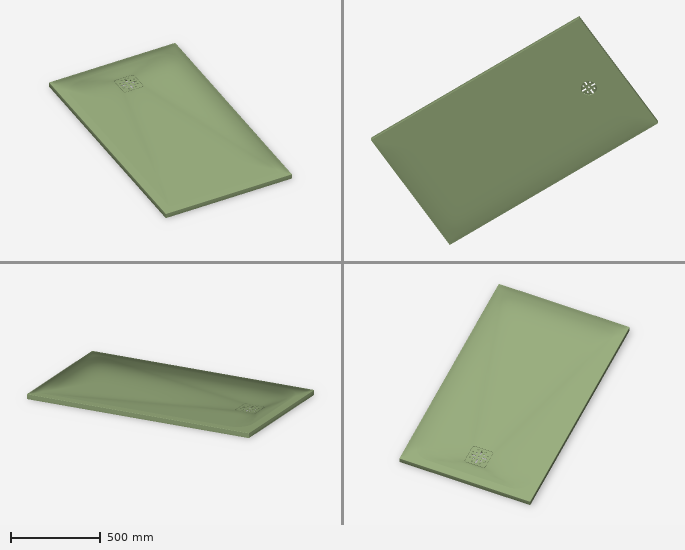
import cadquery as cq
import math

LENGTH = 1400.0
WIDTH = 800.0
HEIGHT = 30.0

RIM_WIDTH = 50.0
DRAIN_END_RADIUS = 100.0
FAR_END_RADIUS = 14.0
FLOOR_FALL = 15.0
FLOOR_LOW = HEIGHT - FLOOR_FALL

CORNER_STEPS = 2

CORNER_STRETCH = 0.3

TOP_EDGE_RADIUS = 1.0

DRAIN_FROM_END = 200.0
DRAIN_X = DRAIN_FROM_END - LENGTH / 2
DRAIN_DIAMETER = 90.0
FUNNEL_DIAMETER = 122.0
FUNNEL_DEPTH = 1.0

GRATE_SIDE = 123.0
GRATE_CORNER_RADIUS = 14.0
GRATE_GAP = 2.1
GRATE_THICKNESS = 3.0
POCKET_SIDE = GRATE_SIDE + 2 * GRATE_GAP
POCKET_CORNER_RADIUS = 11.0
POCKET_FLOOR = FLOOR_LOW - GRATE_THICKNESS

SLOT_WIDTH = 10.0
SLOT_PITCH = 22.0
ARM_LENGTH = SLOT_PITCH + SLOT_WIDTH
ARM_CENTRE = 1.5 * SLOT_PITCH


def rounded_outline(z, x_min, x_max, width, radius_at_min, radius_at_max, stretch=0.0):
    """Closed wire at height z: a rectangle with its own corner radius at each X end.

    The wire is one smooth spline, so a surface lofted between two of them is a single face.
    It starts and ends at the middle of the x_min side. Its parameter is the fraction of its length,
    which a positive stretch shifts so that the corners lie closer in parameter to the two X ends.
    """
    y = width / 2
    corners = (
        (x_min + radius_at_min, -y + radius_at_min, radius_at_min, 180),
        (x_max - radius_at_max, -y + radius_at_max, radius_at_max, 270),
        (x_max - radius_at_max, y - radius_at_max, radius_at_max, 0),
        (x_min + radius_at_min, y - radius_at_min, radius_at_min, 90),
    )
    start = cq.Vector(x_min, 0, z)
    start_direction = cq.Vector(0, -1, 0)
    points = [start]
    directions = [start_direction]
    lengths = [0.0]
    for centre_x, centre_y, radius, start_angle in corners:
        for step in range(CORNER_STEPS + 1):
            angle = math.radians(start_angle + 90 * step / CORNER_STEPS)
            point = cq.Vector(centre_x + radius * math.cos(angle), centre_y + radius * math.sin(angle), z)
            straight = (point - points[-1]).Length
            arc = radius * math.radians(90 / CORNER_STEPS)
            lengths.append(lengths[-1] + (straight if step == 0 else arc))
            points.append(point)
            directions.append(cq.Vector(-math.sin(angle), math.cos(angle), 0))
    lengths.append(lengths[-1] + (start - points[-1]).Length)
    points.append(start)
    directions.append(start_direction)
    fractions = [length / lengths[-1] for length in lengths]
    parameters = [f - stretch * math.sin(4 * math.pi * f) / (4 * math.pi) for f in fractions]
    rates = [1 - stretch * math.cos(4 * math.pi * f) for f in fractions]
    tangents = [direction * (lengths[-1] / rate) for direction, rate in zip(directions, rates)]
    spline = cq.Edge.makeSpline(points, tangents=tangents, parameters=parameters, scale=False)
    return cq.Wire.assembleEdges([spline])


def square_at_drain(z, side, radius):
    """Rounded square outline centred on the drain, its corners in step with those of the rim."""
    return rounded_outline(
        z, DRAIN_X - side / 2, DRAIN_X + side / 2, side, radius, radius, CORNER_STRETCH
    )


def plate_at_drain(side, radius):
    """Rounded square plate standing on the pocket floor, as thick as the grate."""
    outline = square_at_drain(POCKET_FLOOR, side, radius)
    plate = cq.Solid.extrudeLinear(outline, [], cq.Vector(0, 0, GRATE_THICKNESS))
    return cq.Workplane(plate)


def floor_basin():
    """Volume above one smooth floor surface that dips from the rim to the pocket edge."""
    rim_edge = rounded_outline(
        HEIGHT,
        -LENGTH / 2 + RIM_WIDTH,
        LENGTH / 2 - RIM_WIDTH,
        WIDTH - 2 * RIM_WIDTH,
        DRAIN_END_RADIUS,
        FAR_END_RADIUS,
    )
    pocket_edge = square_at_drain(FLOOR_LOW, POCKET_SIDE, POCKET_CORNER_RADIUS)
    return cq.Workplane(cq.Solid.makeLoft([rim_edge, pocket_edge], True))


def drain_cutter():
    """Straight drain hole with a shallow funnel sunk into the pocket floor."""
    funnel_bottom = POCKET_FLOOR - FUNNEL_DEPTH
    return (
        cq.Workplane("XZ", origin=(DRAIN_X, 0, 0))
        .moveTo(0, 0)
        .lineTo(DRAIN_DIAMETER / 2, 0)
        .lineTo(DRAIN_DIAMETER / 2, funnel_bottom)
        .lineTo(FUNNEL_DIAMETER / 2, POCKET_FLOOR)
        .lineTo(0, POCKET_FLOOR)
        .close()
        .revolve(360, (0, 0), (0, 1))
    )


def make_tray():
    """Block with a soft top edge, the sloping floor, the grate pocket and the drain."""
    block = cq.Workplane("XY").box(LENGTH, WIDTH, HEIGHT, centered=(True, True, False))
    block = block.faces(">Z").edges().fillet(TOP_EDGE_RADIUS)
    pocket = plate_at_drain(POCKET_SIDE, POCKET_CORNER_RADIUS)
    return block.cut(floor_basin()).cut(pocket).cut(drain_cutter())


def slot_cutter(x, y, length_x, length_y):
    """Rectangular cutter through the grate, placed relative to the drain centre."""
    return (
        cq.Workplane("XY", origin=(DRAIN_X + x, y, POCKET_FLOOR))
        .rect(length_x, length_y)
        .extrude(GRATE_THICKNESS)
    )


def make_grate():
    """Plate with a central square, four arms in a cross and three squares in each quadrant."""
    grate = plate_at_drain(GRATE_SIDE, GRATE_CORNER_RADIUS)
    grate = grate.cut(slot_cutter(0, 0, SLOT_WIDTH, SLOT_WIDTH))
    for side in (-1, 1):
        grate = grate.cut(slot_cutter(side * ARM_CENTRE, 0, ARM_LENGTH, SLOT_WIDTH))
        grate = grate.cut(slot_cutter(0, side * ARM_CENTRE, SLOT_WIDTH, ARM_LENGTH))
    for x_side in (-1, 1):
        for y_side in (-1, 1):
            for column, row in ((1, 1), (2, 1), (1, 2)):
                x = x_side * column * SLOT_PITCH
                y = y_side * row * SLOT_PITCH
                grate = grate.cut(slot_cutter(x, y, SLOT_WIDTH, SLOT_WIDTH))
    return grate


tray = make_tray()
grate = make_grate()
result = cq.Compound.makeCompound([tray.val(), grate.val()])